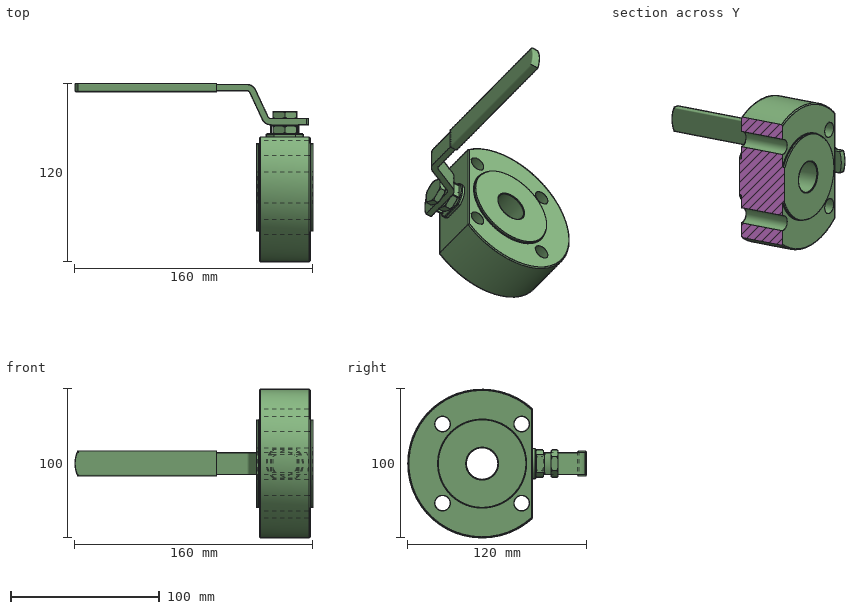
import cadquery as cq
import math

overall_length = 160.0

body_diameter = 100.0
body_width = 34.2
body_edge_chamfer = 0.8
flat_height = 33.9
face_diameter = 58.9
face_to_face = 37.9
face_foot = 0.5
bore_diameter = 21.1
bore_edge_chamfer = 0.5
bolt_hole_diameter = 10.2
bolt_circle_diameter = 75.2
bolt_hole_count = 4
first_bolt_angle = 45.0

washer_radius = 12.5
washer_width = 20.5
washer_thickness = 2.2
washer_chamfer = 0.6
hex_sides = 6
hex_flats = 16.2
hex_chamfer = 0.8
clip_span = 19.2
clip_width = 12.2
clip_thickness = 0.8
clip_leg_gap = 0.5
clip_height = 5.9
head_height = 4.6

bar_width = 14.9
bar_thickness = 4.3
bend_radius = 4.2
bend_angle = 65.0
handle_end = 16.0
handle_end_sagitta = 1.3
lower_bend_start = -9.5
arm_rise = 22.9

bar_length_in_grip = 16.0
grip_width = 17.0
grip_thickness = 5.8
grip_inner_end = -45.7
grip_tip_sagitta = 1.9
grip_edge_round = 1.0

grip_tip = face_to_face / 2 - overall_length
washer_top = flat_height + washer_thickness
clip_top = washer_top + clip_height
bar_top = clip_top + bar_thickness
bar_level = clip_top + bar_thickness / 2
arm_level = bar_level + arm_rise
handle_end_corner = handle_end - handle_end_sagitta


def cylinder_x(diameter, length):
    """Cylinder along X, centred on the origin."""
    return cq.Workplane("YZ").circle(diameter / 2).extrude(length / 2, both=True)


def valve_body():
    """Flat-sided disc with raised faces, a through bore and a ring of bolt holes."""
    keep = cq.Workplane("XY").box(body_width, body_diameter, body_diameter)
    keep = keep.translate((0, flat_height - body_diameter / 2, 0))
    disc = cylinder_x(body_diameter, body_width).intersect(keep)
    disc = disc.faces("<X or >X").edges().chamfer(body_edge_chamfer)
    faces = cylinder_x(face_diameter, face_to_face)
    feet = cylinder_x(face_diameter + 2 * face_foot, body_width + 2 * face_foot)
    feet = feet.edges().chamfer(face_foot)
    bore = cylinder_x(bore_diameter, face_to_face)
    bolt_holes = (
        cq.Workplane("YZ")
        .polarArray(bolt_circle_diameter / 2, first_bolt_angle, 360, bolt_hole_count)
        .circle(bolt_hole_diameter / 2)
        .extrude(face_to_face / 2, both=True)
    )
    body = disc.union(faces).union(feet).cut(bore).cut(bolt_holes)
    bore_rims = cq.selectors.RadiusNthSelector(0)
    return body.faces("<X or >X").edges(bore_rims).chamfer(bore_edge_chamfer)


def on_stem(level):
    """Plane across the stem at a height above the bore axis, facing away from the body."""
    return cq.Workplane(cq.Plane(origin=(0, level, 0), xDir=(1, 0, 0), normal=(0, 1, 0)))


def washer():
    """Round washer trimmed to two straight sides, with a bevelled top edge."""
    disc = on_stem(flat_height).circle(washer_radius).extrude(washer_thickness)
    trim = on_stem(flat_height).rect(2 * washer_radius, washer_width).extrude(washer_thickness)
    return disc.intersect(trim).faces(">Y").chamfer(washer_chamfer)


def hexagon(level, height):
    """Hexagon with flats facing X and its corners turned off at both ends."""
    half_side_angle = 180 / hex_sides
    corner_diameter = hex_flats / math.cos(math.radians(half_side_angle))
    prism = on_stem(level).polygon(hex_sides, corner_diameter).extrude(height)
    prism = prism.rotate((0, level, 0), (0, level + 1.6, 0), half_side_angle)
    turned = on_stem(level).circle(corner_diameter / 2).extrude(height).edges().chamfer(hex_chamfer)
    return prism.intersect(turned)


def clip():
    """U-shaped clip whose two legs straddle the lower nut."""
    outer_height = clip_height - clip_leg_gap
    outer = cq.Workplane("XY").box(clip_span, outer_height, clip_width)
    outer = outer.edges("|Z and >Y").fillet(clip_thickness)
    gap = cq.Workplane("XY").box(clip_span - 2 * clip_thickness, outer_height, clip_width)
    gap = gap.translate((0, -clip_thickness, 0))
    return outer.cut(gap).translate((0, clip_top - outer_height / 2, 0))


def handle_bar():
    """Flat bar that runs over the stem, slopes away from the body and carries the grip."""
    angle = math.radians(bend_angle)
    bend_run = bend_radius * math.sin(angle)
    bend_rise = bend_radius * (1 - math.cos(angle))
    slope_rise = arm_rise - 2 * bend_rise
    slope_run = slope_rise / math.tan(angle)
    slope_start = (lower_bend_start - bend_run, bar_level + bend_rise)
    slope_end = (slope_start[0] - slope_run, slope_start[1] + slope_rise)
    arm_start = (slope_end[0] - bend_run, arm_level)
    path = (
        cq.Workplane("XY")
        .moveTo(handle_end_corner, bar_level)
        .lineTo(lower_bend_start, bar_level)
        .tangentArcPoint(slope_start, relative=False)
        .lineTo(*slope_end)
        .tangentArcPoint(arm_start, relative=False)
        .lineTo(grip_inner_end - bar_length_in_grip, arm_level)
    )
    section = cq.Workplane("YZ", origin=(handle_end_corner, bar_level, 0))
    bar = section.rect(bar_thickness, bar_width).sweep(path)
    rounded_end = (
        cq.Workplane("XZ", origin=(0, clip_top, 0))
        .moveTo(0, -bar_width / 2)
        .lineTo(handle_end_corner, -bar_width / 2)
        .threePointArc((handle_end, 0), (handle_end_corner, bar_width / 2))
        .lineTo(0, bar_width / 2)
        .close()
        .extrude(-bar_thickness)
    )
    return bar.union(rounded_end)


def grip():
    """Sleeve with a bowed tip and rounded long edges, square where the bar enters."""
    corner_x = grip_tip + grip_tip_sagitta
    sleeve = (
        cq.Workplane("XZ", origin=(0, arm_level - grip_thickness / 2, 0))
        .moveTo(grip_inner_end, -grip_width / 2)
        .lineTo(corner_x, -grip_width / 2)
        .threePointArc((grip_tip, 0), (corner_x, grip_width / 2))
        .lineTo(grip_inner_end, grip_width / 2)
        .close()
        .extrude(-grip_thickness)
    )
    return sleeve.faces("<Y or >Y").edges("not >X").fillet(grip_edge_round)


result = (
    valve_body()
    .union(washer())
    .union(hexagon(washer_top, clip_height - clip_thickness))
    .union(clip())
    .union(handle_bar())
    .union(hexagon(bar_top, head_height))
    .union(grip())
)